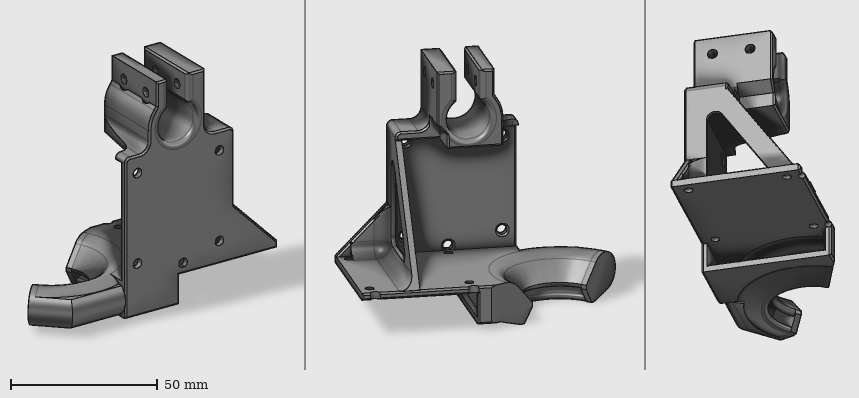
import cadquery as cq
import math

WIDTH = 46.0
LENGTH = 95.7
HEIGHT = 87.9
EDGE = 0.7
REACH = 191.5
NEAR = 0.1
CLEAR = 1.0

PLATE_TOP = 16.1
PLATE_THICK = 2.5
PLATE_BOTTOM = PLATE_TOP - PLATE_THICK
PLATE_HOLE_D = 3.0
PLATE_HOLE_X = 5.65
PLATE_HOLE_Y = 92.0
PLATE_HOLE_PITCH = 34.85
NOTCH_D = 3.4
NOTCH_REAR_Y = 91.1
NOTCH_FRONT_Y = 56.7

WALL_INNER = 43.0
WALL_FRONT = 32.8
WALL_REAR = 77.7
WALL_TOP = 60.3
WALL_HOLE_D = 3.4
WALL_HOLE_Y = (37.8, 71.7)
WALL_HOLE_Z = (22.1, 56.0)
ACCESS_HOLE_Z = 17.7
OVERLAP = 1.1

RIB_FRONT = 75.5
RIB_TOP_X = 30.5
RIB_SLOPE = (WALL_TOP - PLATE_TOP) / RIB_TOP_X
RIB_OUTLINE = [(0, PLATE_TOP), (WALL_INNER, PLATE_TOP), (WALL_INNER, WALL_TOP), (RIB_TOP_X, WALL_TOP)]
CORNER_R = 5.0
WINDOW_MARGIN = 5.0
WINDOW_SLOPE_MARGIN = 8.8
WINDOW_R = 3.0

CLAMP_LEFT = 18.0
CLAMP_FRONT = 42.7
CLAMP_REAR = 65.8
BORE_Y = 54.7
BORE_Z = 70.5
BORE_D = 15.1
BORE_ROUND = 2.0
ARM_FRONT = 45.9
SHOULDER_ARC_TOP = 77.55
SHOULDER_TOP = 78.8
SLOT_FRONT = 50.7
SLOT_REAR = 58.8
CLAMP_HOLE_D = 3.4
CLAMP_HOLE_X = (25.85, 39.2)
CLAMP_HOLE_Z = 81.8
SPOT_R = 3.8
STEP_Y = 62.2
STEP_Z = 65.3

FLANGE_FILLET = 4.0
FLANGE_ROUND = 2.0
FRONT_FLANGE_TOP = 62.6
REAR_FLANGE_TOP = 63.4
FRONT_FLANGE_LEFT = 39.9
FRONT_FLANGE_BEND = 4.8
FRONT_FLANGE_SLANT = 3.8

TUBE_R = 7.0
RING_R = 24.3
TUBE_Z = PLATE_TOP - TUBE_R
INNER_R = 13.1
RING_X = 14.4
RING_START = -45.0
RING_END = 114.0
CAP = 2.2
RING_Y = (RING_R + TUBE_R + CAP) * math.sin(math.radians(-RING_START))
NOSE_TOP = 7.1
NOSE_BOTTOM = 5.6
FOOT_INNER_R = INNER_R + 3.4
FOOT_OUTER_R = INNER_R + 5.2
GUARD_TOP = 14.3
DUCT_WALL = 1.4
SLIT_TOP = 5.3
LIP_TIP_R = INNER_R + 3.0
LIP_HEIGHT = 2.2

BOX_REAR = 55.2
BOX_BOTTOM = 2.5
BOX_WALL = 2.0
BOX_FLOOR = 3.4
INLET_SILL = 4.7


def box(x0, x1, y0, y1, z0, z1):
    return cq.Workplane("XY").box(x1 - x0, y1 - y0, z1 - z0, centered=False).translate((x0, y0, z0))


def cylinder_x(d, y, z, x0, x1):
    return cq.Workplane("YZ", origin=(x0, y, z)).circle(d / 2).extrude(x1 - x0)


def cylinder_y(d, x, z, y0, y1):
    return cq.Workplane("XZ", origin=(x, y0, z)).circle(d / 2).extrude(y0 - y1)


def cylinder_z(d, x, y, z0, z1):
    return cq.Workplane("XY", origin=(x, y, z0)).circle(d / 2).extrude(z1 - z0)


def place_on_ring(body, angle):
    return body.rotate((0, 0, 0), (0, 0, 1), angle).translate((RING_X, RING_Y, 0))


def tangent_point(point, radius, side):
    """Point where a line from `point` touches a circle about the section centre."""
    dx = RING_R - point[0]
    dz = TUBE_Z - point[1]
    distance = math.hypot(dx, dz)
    heading = math.atan2(dz, dx) + side * math.asin(radius / distance)
    run = math.sqrt(distance**2 - radius**2)
    return (point[0] + run * math.cos(heading), point[1] + run * math.sin(heading))


def clamp_shoulder(sketch):
    """From the front of the clamp, over the round shoulder, around the top to its rear."""
    outer_r = BORE_Y - CLAMP_FRONT
    end = math.asin((SHOULDER_ARC_TOP - BORE_Z) / outer_r)
    middle = (BORE_Y - outer_r * math.cos(end / 2), BORE_Z + outer_r * math.sin(end / 2))
    arc_top = (BORE_Y - outer_r * math.cos(end), SHOULDER_ARC_TOP)
    return (
        sketch.lineTo(CLAMP_FRONT, BORE_Z)
        .threePointArc(middle, arc_top)
        .lineTo(ARM_FRONT, SHOULDER_TOP)
        .lineTo(ARM_FRONT, HEIGHT)
        .lineTo(CLAMP_REAR, HEIGHT)
    )


def silhouette(x_left):
    """Complete side outline, extruded from x_left to the +X face, with that face chamfered."""
    sketch = cq.Workplane("YZ", origin=(x_left, 0, 0)).moveTo(WALL_FRONT, BOX_BOTTOM)
    sketch = (
        sketch.lineTo(WALL_FRONT, FRONT_FLANGE_TOP - FLANGE_ROUND)
        .radiusArc((WALL_FRONT + FLANGE_ROUND, FRONT_FLANGE_TOP), FLANGE_ROUND)
        .lineTo(CLAMP_FRONT - FLANGE_FILLET, FRONT_FLANGE_TOP)
        .radiusArc((CLAMP_FRONT, FRONT_FLANGE_TOP + FLANGE_FILLET), -FLANGE_FILLET)
    )
    sketch = clamp_shoulder(sketch)
    sketch = (
        sketch.lineTo(CLAMP_REAR, REAR_FLANGE_TOP + FLANGE_FILLET)
        .radiusArc((CLAMP_REAR + FLANGE_FILLET, REAR_FLANGE_TOP), -FLANGE_FILLET)
        .lineTo(WALL_REAR - FLANGE_ROUND, REAR_FLANGE_TOP)
        .radiusArc((WALL_REAR, REAR_FLANGE_TOP - FLANGE_ROUND), FLANGE_ROUND)
        .lineTo(WALL_REAR, PLATE_TOP + LENGTH - WALL_REAR)
        .lineTo(LENGTH, PLATE_TOP)
        .lineTo(LENGTH, PLATE_BOTTOM)
        .lineTo(BOX_REAR, PLATE_BOTTOM)
        .lineTo(BOX_REAR, BOX_BOTTOM)
        .close()
    )
    return sketch.extrude(WIDTH - x_left).faces(">X").chamfer(EDGE)


def wall():
    body = silhouette(WALL_INNER)
    front_edge = cq.selectors.BoxSelector(
        (WALL_INNER - NEAR, WALL_FRONT - NEAR, 0), (WALL_INNER + NEAR, WALL_FRONT + NEAR, WALL_TOP)
    )
    gusset_edge = cq.selectors.BoxSelector(
        (WALL_INNER - NEAR, WALL_REAR + NEAR, PLATE_TOP + NEAR), (WALL_INNER + NEAR, LENGTH - NEAR, WALL_TOP)
    )
    return body.edges(front_edge).chamfer(EDGE).edges(gusset_edge).chamfer(EDGE)


def rear_flange():
    limits = box(0, WIDTH, CLAMP_REAR - OVERLAP, WALL_REAR, WALL_TOP, REAR_FLANGE_TOP + FLANGE_FILLET)
    body = silhouette(RIB_TOP_X).intersect(limits)
    return body.faces("<X").edges("not <Y").chamfer(EDGE)


def front_flange():
    corner = (FRONT_FLANGE_LEFT, CLAMP_FRONT - FRONT_FLANGE_SLANT)
    plan = (
        cq.Workplane("XY", origin=(0, 0, WALL_TOP))
        .moveTo(CLAMP_LEFT + EDGE, CLAMP_FRONT + OVERLAP)
        .lineTo(CLAMP_LEFT + EDGE, CLAMP_FRONT)
        .lineTo(*corner)
        .lineTo(FRONT_FLANGE_LEFT, WALL_FRONT)
        .lineTo(WIDTH, WALL_FRONT)
        .lineTo(WIDTH, CLAMP_FRONT + OVERLAP)
        .close()
        .extrude(FRONT_FLANGE_TOP + FLANGE_FILLET - WALL_TOP)
    )
    bend = cq.selectors.BoxSelector(
        (corner[0] - NEAR, corner[1] - NEAR, WALL_TOP), (corner[0] + NEAR, corner[1] + NEAR, HEIGHT)
    )
    return silhouette(CLAMP_LEFT).intersect(plan.edges(bend).fillet(FRONT_FLANGE_BEND))


def flared_outline(half_width):
    """Half of an opening in plan, from its centre line out, with both ends rounded outward."""
    mouth = half_width + BORE_ROUND
    return (
        cq.Workplane("XY")
        .moveTo(CLAMP_LEFT, 0)
        .lineTo(CLAMP_LEFT, mouth)
        .radiusArc((CLAMP_LEFT + BORE_ROUND, half_width), -BORE_ROUND)
        .lineTo(WIDTH - BORE_ROUND, half_width)
        .radiusArc((WIDTH, mouth), -BORE_ROUND)
        .lineTo(WIDTH, 0)
        .close()
    )


def clamp_opening():
    """Bore and slot, with rounded mouths at both ends and chamfers at the slot top and foot."""
    bore = flared_outline(BORE_D / 2).revolve(360, (0, 0, 0), (1, 0, 0)).translate((0, BORE_Y, BORE_Z))
    slot_half = (SLOT_REAR - SLOT_FRONT) / 2
    half_slot = flared_outline(slot_half).extrude(HEIGHT - BORE_Z)
    slot = half_slot.union(half_slot.mirror("XZ")).translate((0, (SLOT_FRONT + SLOT_REAR) / 2, BORE_Z))
    opening = bore.union(slot)
    chamfer = (
        cq.Workplane("YZ", origin=(CLAMP_LEFT, 0, HEIGHT))
        .moveTo(SLOT_FRONT - EDGE, 0)
        .lineTo(SLOT_FRONT, -EDGE)
        .lineTo(SLOT_REAR, -EDGE)
        .lineTo(SLOT_REAR + EDGE, 0)
        .close()
        .extrude(WIDTH - CLAMP_LEFT)
    )
    corner_rise = math.sqrt((BORE_D / 2) ** 2 - slot_half**2)
    wide_half = slot_half + EDGE
    wide_rise = math.sqrt((BORE_D / 2) ** 2 - wide_half**2)
    slot_foot = (
        cq.Workplane("YZ", origin=(CLAMP_LEFT, (SLOT_FRONT + SLOT_REAR) / 2, BORE_Z))
        .moveTo(-wide_half, wide_rise)
        .lineTo(-slot_half, corner_rise + EDGE)
        .lineTo(slot_half, corner_rise + EDGE)
        .lineTo(wide_half, wide_rise)
        .close()
        .extrude(WIDTH - CLAMP_LEFT)
    )
    return opening.union(chamfer).union(slot_foot)


def clamp():
    sketch = cq.Workplane("YZ", origin=(CLAMP_LEFT, 0, 0)).moveTo(CLAMP_FRONT, WALL_TOP)
    body = clamp_shoulder(sketch).lineTo(CLAMP_REAR, WALL_TOP).close().extrude(WIDTH - CLAMP_LEFT)
    step = (
        cq.Workplane("YZ")
        .moveTo(STEP_Y, 0)
        .lineTo(STEP_Y, STEP_Z)
        .lineTo(CLAMP_REAR, STEP_Z + CLAMP_REAR - STEP_Y)
        .lineTo(CLAMP_REAR, 0)
        .close()
        .extrude(RIB_TOP_X)
    )
    step_edge = cq.selectors.BoxSelector(
        (RIB_TOP_X - NEAR, STEP_Y, WALL_TOP - NEAR), (RIB_TOP_X + NEAR, CLAMP_REAR, WALL_TOP + NEAR)
    )
    body = body.cut(step).edges(step_edge).chamfer(EDGE)
    body = body.faces("<X").chamfer(EDGE)
    body = body.faces(">X").edges("not <Z").chamfer(EDGE)
    body = body.cut(clamp_opening())
    for x in CLAMP_HOLE_X:
        body = body.cut(cylinder_y(CLAMP_HOLE_D, x, CLAMP_HOLE_Z, 0, LENGTH))
        body = body.cut(cylinder_y(2 * SPOT_R, x, CLAMP_HOLE_Z, 0, ARM_FRONT))
    return body


def clamp_clearance():
    """Space inside the clamp outline that the wall must leave to the clamp."""
    return box(0, REACH, CLAMP_FRONT + OVERLAP, CLAMP_REAR - OVERLAP, WALL_TOP, REACH)


def rib():
    body = (
        cq.Workplane("XZ", origin=(0, WALL_REAR, 0))
        .polyline(RIB_OUTLINE)
        .close()
        .extrude(WALL_REAR - RIB_FRONT)
    )
    bottom = PLATE_TOP + WINDOW_MARGIN
    right = WALL_INNER - WINDOW_MARGIN
    left = (bottom - PLATE_TOP) / RIB_SLOPE + WINDOW_SLOPE_MARGIN
    window = (
        cq.Workplane("XZ", origin=(0, WALL_REAR, 0))
        .polyline([(left, bottom), (right, bottom), (right, bottom + (right - left) * RIB_SLOPE)])
        .close()
        .extrude(WALL_REAR - RIB_FRONT)
        .edges("|Y")
        .fillet(WINDOW_R)
    )
    body = body.cut(window)
    window_rim = body.faces("<Y").wires(cq.selectors.LengthNthSelector(0)).edges()
    return window_rim.chamfer(EDGE)


def rear_corner_fillets():
    """Fillets behind the rib: rib to plate, wall to plate and rib to wall."""
    void = box(-REACH, WALL_INNER, WALL_REAR, REACH, PLATE_TOP, REACH)
    void = void.edges("(>X and <Y) or (>X and <Z) or (<Y and <Z)").fillet(CORNER_R)
    fill = box(0, WALL_INNER, WALL_REAR, LENGTH - CORNER_R, PLATE_TOP, WALL_TOP).cut(void)
    below_rib = (
        cq.Workplane("XZ", origin=(0, LENGTH, 0))
        .polyline(RIB_OUTLINE)
        .close()
        .extrude(LENGTH)
    )
    gusset_height = LENGTH - WALL_REAR
    below_gusset = (
        cq.Workplane("YZ")
        .polyline([(WALL_REAR, PLATE_TOP), (LENGTH, PLATE_TOP), (WALL_REAR, PLATE_TOP + gusset_height)])
        .close()
        .extrude(WIDTH)
    )
    return fill.intersect(below_rib).intersect(below_gusset)


def beyond_ring_end(offset):
    """Everything past the far end of the swept ring, starting `offset` further on."""
    return place_on_ring(box(0, REACH, offset, REACH, -CLEAR, REACH), RING_END)


def base():
    body = (
        cq.Workplane("YZ")
        .polyline([
            (WALL_FRONT, PLATE_TOP),
            (LENGTH, PLATE_TOP),
            (LENGTH, PLATE_BOTTOM),
            (BOX_REAR, PLATE_BOTTOM),
            (BOX_REAR, BOX_BOTTOM),
            (WALL_FRONT, BOX_BOTTOM),
        ])
        .close()
        .extrude(WALL_INNER + OVERLAP)
    )
    body = body.faces("<X").chamfer(EDGE)
    body = body.cut(beyond_ring_end(CAP))
    return body.cut(cylinder_z(2 * RING_R, RING_X, RING_Y, 0, PLATE_TOP))


def air_box_cavity():
    right = WIDTH - BOX_WALL
    rear = BOX_REAR - BOX_WALL
    body = box(BOX_WALL, right, WALL_FRONT + BOX_WALL, rear, BOX_FLOOR, PLATE_BOTTOM)
    body = body.union(box(BOX_WALL, right, rear, BOX_REAR, INLET_SILL, PLATE_BOTTOM))
    body = body.cut(cylinder_z(2 * RING_R, RING_X, RING_Y, 0, PLATE_TOP))
    return body.cut(beyond_ring_end(0))


def plate_openings():
    centers = [
        (PLATE_HOLE_X + i * PLATE_HOLE_PITCH, PLATE_HOLE_Y - j * PLATE_HOLE_PITCH)
        for i in (0, 1)
        for j in (0, 1)
    ]
    depth = PLATE_THICK + CORNER_R
    bottom = cq.Workplane("XY", origin=(0, 0, PLATE_BOTTOM))
    tools = bottom.pushPoints(centers).circle(PLATE_HOLE_D / 2).extrude(depth)
    for y in (NOTCH_REAR_Y, NOTCH_FRONT_Y):
        tools = tools.union(cylinder_z(NOTCH_D, 0, y, PLATE_BOTTOM, PLATE_TOP))
    return tools


def wall_hole(y, z):
    through = cylinder_x(WALL_HOLE_D, y, z, WALL_INNER, WIDTH)
    mouth = (
        cq.Workplane("YZ", origin=(WALL_INNER, y, z))
        .circle(WALL_HOLE_D / 2 + EDGE)
        .workplane(offset=EDGE)
        .circle(WALL_HOLE_D / 2)
        .loft()
    )
    return through.union(mouth).intersect(box(0, WIDTH, 0, LENGTH, PLATE_TOP, HEIGHT))


def ring_section():
    """Closed section of the ring and of its end caps, in the radius-height plane."""
    nose = (INNER_R, NOSE_TOP)
    foot = (FOOT_OUTER_R, 0)
    return (
        cq.Workplane("XZ")
        .moveTo(*nose)
        .lineTo(*tangent_point(nose, TUBE_R, 1))
        .threePointArc((RING_R + TUBE_R, TUBE_Z), tangent_point(foot, TUBE_R, -1))
        .lineTo(*foot)
        .lineTo(FOOT_INNER_R, 0)
        .lineTo(INNER_R, NOSE_BOTTOM)
        .close()
    )


def sweep_ring(section):
    return place_on_ring(section.revolve(RING_END - RING_START, (0, 0), (0, 1)), RING_START)


def ring():
    body = sweep_ring(ring_section())
    body = body.union(place_on_ring(ring_section().extrude(CAP), RING_START))
    body = body.union(place_on_ring(ring_section().extrude(-CAP), RING_END))
    return body.intersect(box(0, WIDTH, 0, LENGTH, 0, PLATE_TOP))


def ring_cavity():
    """Air channel that opens through a slit along the inside of the ring, between two round lips."""
    radius = TUBE_R - DUCT_WALL
    nose_round = NOSE_TOP - SLIT_TOP
    lip_round = LIP_HEIGHT / 2
    front = INNER_R - CLEAR
    diagonal = math.sqrt(0.5)
    upper = (INNER_R + nose_round, SLIT_TOP)
    upper_middle = (upper[0] - nose_round * diagonal, NOSE_TOP - nose_round * diagonal)
    lower = (LIP_TIP_R + lip_round, LIP_HEIGHT)
    return sweep_ring(
        cq.Workplane("XZ")
        .moveTo(front, NOSE_TOP)
        .lineTo(INNER_R, NOSE_TOP)
        .threePointArc(upper_middle, upper)
        .lineTo(*tangent_point(upper, radius, 1))
        .threePointArc((RING_R + radius, TUBE_Z), tangent_point(lower, radius, -1))
        .lineTo(*lower)
        .threePointArc((LIP_TIP_R, lip_round), (lower[0], 0))
        .lineTo(front, 0)
        .close()
    )


def guard():
    """Ledge outside the ring: straight tubes along Y and along the near end, mitred together."""
    foot = (FOOT_OUTER_R, 0)
    ledge_r = RING_R + math.sqrt(TUBE_R**2 - (GUARD_TOP - TUBE_Z) ** 2)

    def tube(front, rear):
        section = (
            cq.Workplane("XZ", origin=(0, rear, 0))
            .moveTo(0, GUARD_TOP)
            .lineTo(ledge_r, GUARD_TOP)
            .threePointArc((RING_R + TUBE_R, TUBE_Z), tangent_point(foot, TUBE_R, -1))
            .lineTo(*foot)
            .lineTo(0, 0)
            .close()
        )
        return section.extrude(rear - front)

    wall_gap = WIDTH - RING_X - RING_R - TUBE_R
    along_wall = place_on_ring(tube(-RING_Y, WALL_FRONT - RING_Y), 0).translate((wall_gap, 0, 0))
    along_end = place_on_ring(tube(-CAP, LENGTH), RING_START)
    body = along_wall.intersect(along_end)
    return body.cut(cylinder_z(2 * RING_R, RING_X, RING_Y, 0, PLATE_TOP))


result = wall().cut(clamp_clearance())
for piece in (clamp(), rear_flange(), front_flange(), rib(), base()):
    result = result.union(piece)
result = result.union(rear_corner_fillets()).union(ring()).union(guard())
for opening in (air_box_cavity(), ring_cavity(), plate_openings()):
    result = result.cut(opening)
for hole_y in WALL_HOLE_Y:
    for hole_z in WALL_HOLE_Z:
        result = result.cut(wall_hole(hole_y, hole_z))
result = result.cut(wall_hole(NOTCH_FRONT_Y, ACCESS_HOLE_Z))